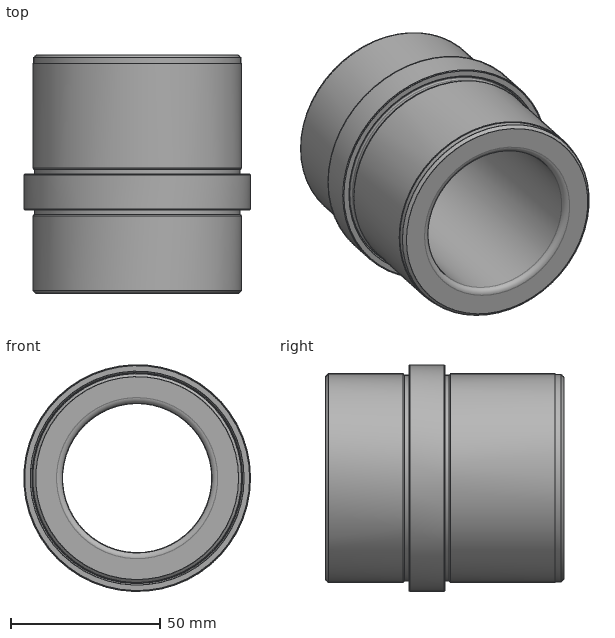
import cadquery as cq

rear_length = 40.0
front_length = 40.0

body_radius = 35.0
bore_radius = 25.0
bore_mouth_fillet = 2.0
end_chamfer = 1.0

flange_radius = 38.0
flange_width = 12.0
flange_chamfer = 0.3

undercut_width = 2.0
undercut_depth = 0.5
undercut_mouth_radius = 35.85
undercut_corner_radius = 0.5

pilot_length = 3.0
pilot_radius = 34.75

rear_y = rear_length
front_y = -front_length
flange_rear_y = 0.0
flange_front_y = flange_rear_y - flange_width


def make_blank():
    """Outer body with its flange, rear pilot and chamfers, turned as one solid."""
    profile = (
        cq.Workplane("XY")
        .moveTo(0, front_y)
        .lineTo(body_radius - end_chamfer, front_y)
        .lineTo(body_radius, front_y + end_chamfer)
        .lineTo(body_radius, flange_front_y)
        .lineTo(flange_radius - flange_chamfer, flange_front_y)
        .lineTo(flange_radius, flange_front_y + flange_chamfer)
        .lineTo(flange_radius, flange_rear_y - flange_chamfer)
        .lineTo(flange_radius - flange_chamfer, flange_rear_y)
        .lineTo(body_radius, flange_rear_y)
        .lineTo(body_radius, rear_y - pilot_length)
        .lineTo(pilot_radius, rear_y - pilot_length)
        .lineTo(pilot_radius, rear_y - end_chamfer)
        .lineTo(pilot_radius - end_chamfer, rear_y)
        .lineTo(0, rear_y)
        .close()
    )
    return profile.revolve(360, (0, 0, 0), (0, 1, 0))


def make_bore():
    """Through bore, rounded out to the end face at both mouths."""
    mouth_radius = bore_radius + bore_mouth_fillet
    arc_offset = bore_mouth_fillet * (1 - 0.5**0.5)
    arc_mid_radius = bore_radius + arc_offset
    profile = (
        cq.Workplane("XY")
        .moveTo(0, front_y)
        .lineTo(mouth_radius, front_y)
        .threePointArc((arc_mid_radius, front_y + arc_offset), (bore_radius, front_y + bore_mouth_fillet))
        .lineTo(bore_radius, rear_y - bore_mouth_fillet)
        .threePointArc((arc_mid_radius, rear_y - arc_offset), (mouth_radius, rear_y))
        .lineTo(0, rear_y)
        .close()
    )
    return profile.revolve(360, (0, 0, 0), (0, 1, 0))


def make_undercut(face_y, outward):
    """Ring cutting the corner at a flange face; outward is the Y sign away from the flange."""

    def along(distance):
        return face_y + outward * distance

    bottom_radius = body_radius - undercut_depth
    arc_offset = undercut_corner_radius * (1 - 0.5**0.5)
    arc_mid = (bottom_radius + arc_offset, along(arc_offset - undercut_depth))
    arc_end = (bottom_radius + undercut_corner_radius, along(-undercut_depth))
    profile = (
        cq.Workplane("XY")
        .moveTo(body_radius, along(undercut_width))
        .lineTo(bottom_radius, along(undercut_width - undercut_depth))
        .lineTo(bottom_radius, along(undercut_corner_radius - undercut_depth))
        .threePointArc(arc_mid, arc_end)
        .lineTo(undercut_mouth_radius - undercut_depth, along(-undercut_depth))
        .lineTo(undercut_mouth_radius, face_y)
        .lineTo(undercut_mouth_radius, along(undercut_width))
        .close()
    )
    return profile.revolve(360, (0, 0, 0), (0, 1, 0))


result = make_blank().cut(make_bore())
for face_y, outward in ((flange_front_y, -1), (flange_rear_y, 1)):
    result = result.cut(make_undercut(face_y, outward))